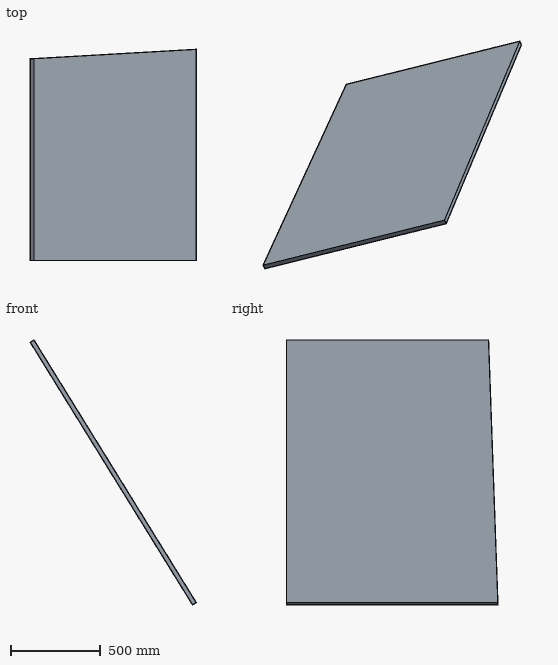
import cadquery as cq
import math

size_x = 927.0
size_y = 1180.0
size_z = 1479.0
thickness = 25.0

top_width = 1127.0

SOLVER_STEPS = 20
length = math.hypot(size_x, size_z)
for _ in range(SOLVER_STEPS):
    lean = math.atan2(
        size_z * length - thickness * size_x,
        size_x * length - thickness * size_z,
    )
    length = (size_z - thickness * math.cos(lean)) / math.sin(lean)

face_dx = thickness * math.sin(lean)
face_dz = thickness * math.cos(lean)

slab_profile = [
    (0, size_z - face_dz),
    (face_dx, size_z),
    (size_x, face_dz),
    (size_x - face_dx, 0),
]
slab = cq.Workplane("XZ").polyline(slab_profile).close().extrude(-size_y)

plan_outline = [
    (0, 0),
    (size_x, 0),
    (size_x, size_y),
    (0, top_width),
]
plan_prism = cq.Workplane("XY").polyline(plan_outline).close().extrude(size_z)

result = slab.intersect(plan_prism)